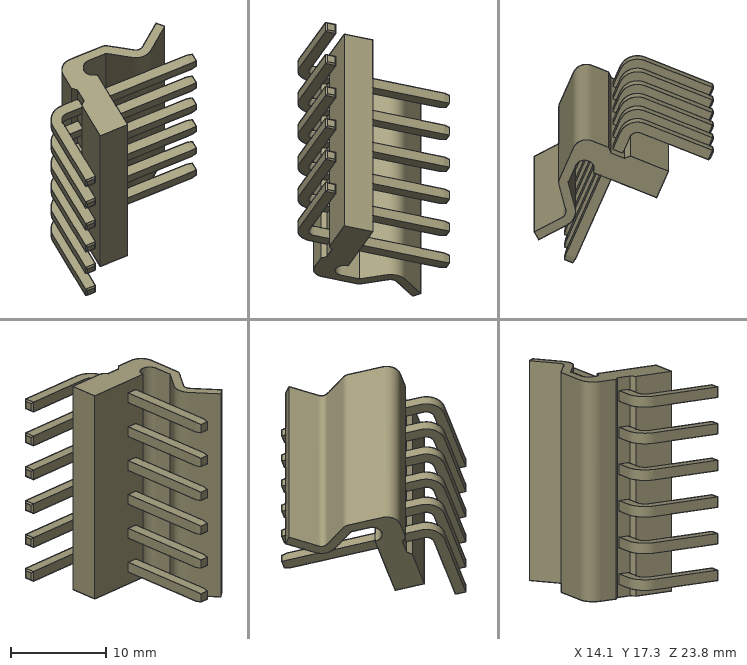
import cadquery as cq
import math


row_length = 23.75
pin_count = 6
pitch = row_length / pin_count

wall_x = -4.63
block_end_x = 5.58
block_height = 3.2
corner_radius = 1.5
wall_thickness = 1.0
relief_radius = 1.0

groove_depth = 0.48
groove_half_floor = 0.75
groove_half_mouth = groove_half_floor + groove_depth

lower_leg_angle = 53.0
upper_leg_angle = 51.5
knee_y = 5.25
bend_y = 8.6
bend_inner_radius = 0.75
upper_leg_length = 3.35

pin_width = 1.15
pin_top_y = 13.8
pin_bottom_y = -3.47
pin_end_x = 9.3
pin_bend_radius = 2.0
pin_tip_length = 0.62
pin_tip_inset = 0.1
pin_end_chamfer = 0.17

cos_lower = math.cos(math.radians(lower_leg_angle))
sin_lower = math.sin(math.radians(lower_leg_angle))
cos_upper = math.cos(math.radians(upper_leg_angle))
sin_upper = math.sin(math.radians(upper_leg_angle))


def shifted(point, direction, distance):
    """Return the point moved by a distance along a unit direction."""
    return (point[0] + distance * direction[0], point[1] + distance * direction[1])


def make_housing():
    """Extrude the housing outline, with its latch, along the whole row."""
    inner_wall_x = wall_x + wall_thickness
    bend_outer_radius = bend_inner_radius + wall_thickness
    knee = (inner_wall_x, knee_y)

    bend_x = inner_wall_x + ((bend_y - knee_y) * cos_lower - bend_outer_radius) / sin_lower
    bend = (bend_x, bend_y)

    lower_normal = (sin_lower, -cos_lower)
    upper_normal = (sin_upper, cos_upper)
    upper_direction = (-cos_upper, sin_upper)
    inward = (1.0, 0.0)

    half_knee_turn = math.radians(90 - lower_leg_angle) / 2
    knee_middle = (-math.cos(half_knee_turn), math.sin(half_knee_turn))

    upper_outer_start = shifted(bend, upper_normal, bend_outer_radius)
    upper_inner_start = shifted(bend, upper_normal, bend_inner_radius)

    corner_offset = corner_radius * (1 - math.sqrt(0.5))
    relief_center_x = inner_wall_x + relief_radius

    return (
        cq.Workplane("XY")
        .moveTo(wall_x, corner_radius)
        .lineTo(wall_x, knee_y)
        .threePointArc(
            shifted(knee, knee_middle, wall_thickness),
            shifted(knee, lower_normal, -wall_thickness),
        )
        .lineTo(*shifted(bend, lower_normal, bend_inner_radius))
        .threePointArc(shifted(bend, inward, bend_inner_radius), upper_inner_start)
        .lineTo(*shifted(upper_inner_start, upper_direction, upper_leg_length))
        .lineTo(*shifted(upper_outer_start, upper_direction, upper_leg_length))
        .lineTo(*upper_outer_start)
        .threePointArc(
            shifted(bend, inward, bend_outer_radius),
            shifted(bend, lower_normal, bend_outer_radius),
        )
        .lineTo(*knee)
        .lineTo(inner_wall_x, block_height)
        .threePointArc(
            (relief_center_x, block_height - relief_radius),
            (relief_center_x + relief_radius, block_height),
        )
        .lineTo(block_end_x, block_height)
        .lineTo(block_end_x, 0)
        .lineTo(groove_half_mouth, 0)
        .lineTo(groove_half_floor, groove_depth)
        .lineTo(-groove_half_floor, groove_depth)
        .lineTo(-groove_half_mouth, 0)
        .lineTo(wall_x + corner_radius, 0)
        .threePointArc((wall_x + corner_offset, corner_offset), (wall_x, corner_radius))
        .close()
        .extrude(row_length)
    )


def make_pin():
    """Build one L-shaped square pin, centred on Z = 0."""
    half = pin_width / 2
    shoulder_y = pin_top_y - pin_tip_length
    tail_top_y = pin_bottom_y + pin_width

    body = (
        cq.Workplane("XY")
        .workplane(offset=-half)
        .moveTo(-half, shoulder_y)
        .lineTo(-half, pin_bottom_y)
        .lineTo(pin_end_x, pin_bottom_y)
        .lineTo(pin_end_x, tail_top_y)
        .lineTo(half, tail_top_y)
        .lineTo(half, shoulder_y)
        .close()
        .extrude(pin_width)
    )
    outer_corner = cq.selectors.NearestToPointSelector((-half, pin_bottom_y, 0))
    body = body.edges(outer_corner).fillet(pin_bend_radius)
    inner_corner = cq.selectors.NearestToPointSelector((half, tail_top_y, 0))
    body = body.edges(inner_corner).fillet(pin_bend_radius - pin_width)
    body = body.faces(">X").edges().chamfer(pin_end_chamfer)

    tip_taper = math.degrees(math.atan2(pin_tip_inset, pin_tip_length))
    tip = (
        cq.Workplane("XZ", origin=(0, shoulder_y, 0))
        .rect(pin_width, pin_width)
        .extrude(-pin_tip_length, taper=tip_taper)
    )
    return body.union(tip)


result = make_housing()
pin = make_pin()
for index in range(pin_count):
    result = result.union(pin.translate((0, 0, (index + 0.5) * pitch)))